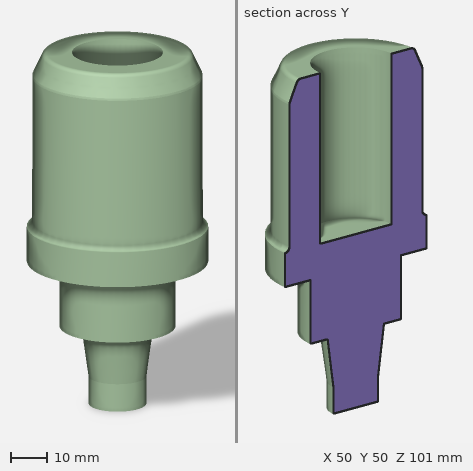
import cadquery as cq
import math

total_height = 101.0
tip_top = 7.9
taper_top = 22.3
flange_bottom = 41.0
flange_top = 51.0

tip_diameter = 16.0
taper_diameter = 20.0
neck_diameter = 32.0
flange_diameter = 50.0
body_diameter = 47.0
bore_diameter = 25.0

bore_depth = total_height - flange_top

lead_in_width = 3.0
lead_in_angle = 25.0
lead_in_height = lead_in_width / math.tan(math.radians(lead_in_angle))
lead_in_rounding = 1.5

ledge_fillet = (flange_diameter - body_diameter) / 2


def make_stepped_body():
    """Revolve the outer profile, including the concave ledge fillet."""
    tip_radius = tip_diameter / 2
    neck_radius = neck_diameter / 2
    flange_radius = flange_diameter / 2
    body_radius = body_diameter / 2
    arc_offset = ledge_fillet * math.sqrt(0.5)
    arc_middle = (flange_radius - arc_offset, flange_top + ledge_fillet - arc_offset)

    profile = (
        cq.Workplane("XZ")
        .moveTo(0, 0)
        .lineTo(tip_radius, 0)
        .lineTo(tip_radius, tip_top)
        .lineTo(taper_diameter / 2, taper_top)
        .lineTo(neck_radius, taper_top)
        .lineTo(neck_radius, flange_bottom)
        .lineTo(flange_radius, flange_bottom)
        .lineTo(flange_radius, flange_top)
        .threePointArc(arc_middle, (body_radius, flange_top + ledge_fillet))
        .lineTo(body_radius, total_height - lead_in_height)
        .lineTo(body_radius - lead_in_width, total_height)
        .lineTo(0, total_height)
        .close()
    )
    return profile.revolve(360, (0, 0, 0), (0, 1, 0))


def round_lead_in(body):
    """Round both circular edges of the conical lead-in."""
    lead_in_edges = body.faces("%CONE").faces(">Z").edges()
    return lead_in_edges.fillet(lead_in_rounding)


def cut_bore(body):
    """Cut the blind bore from the top face."""
    return body.faces(">Z").workplane().hole(bore_diameter, bore_depth)


result = cut_bore(round_lead_in(make_stepped_body()))